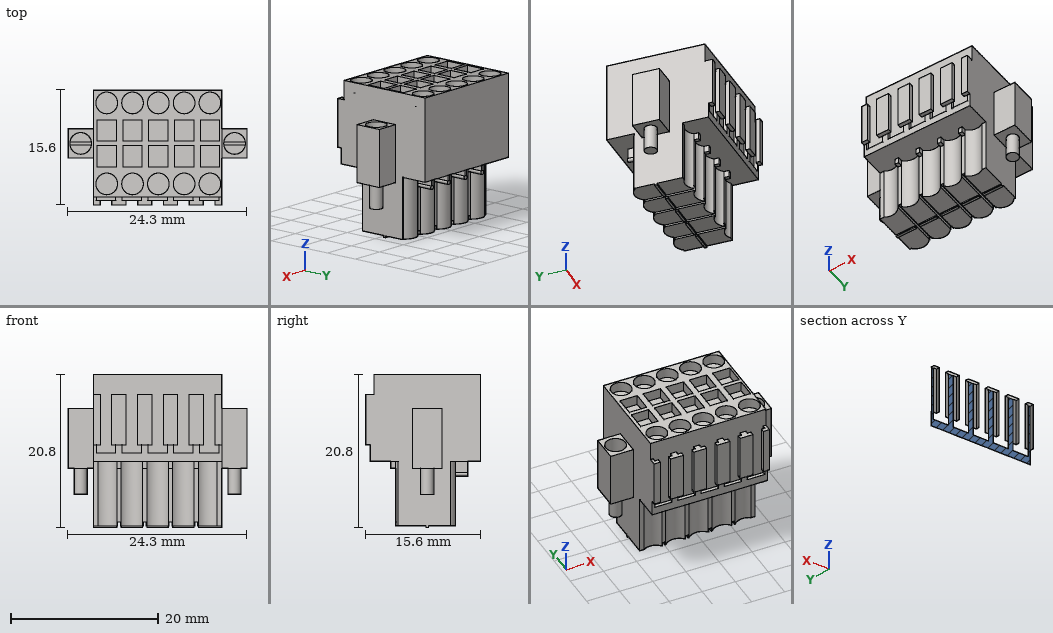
import cadquery as cq


OVERALL_WIDTH = 24.3
POLES = 5
PITCH = 3.5

BODY_WIDTH = 17.45
BODY_DEPTH = 14.48
BODY_HEIGHT = 11.8

OPENING_DEPTH = 1.5
OPENING_SHIFT = 0.1
WIRE_HOLE_DIAMETER = 2.95
WIRE_HOLE_Y = 5.5
WINDOW_WIDTH = 2.62
WINDOW_DEPTH = 2.9
WINDOW_Y = 1.75

SLAB_TOP = 9.1
SLAB_THICKNESS = 0.5
RIB_THICKNESS = 0.6
RIB_BOTTOM = 2.24
T_SLOT_WIDTH = 2.62
T_SLOT_BOTTOM = 1.17
T_SLOT_MOUTH = 1.55

PLUG_HEIGHT = 8.75
PLUG_BACK = 3.18
PLUG_FRONT = -4.28
END_STEP = 0.35
CELL_GAP = 0.58
CELL_SAG = 0.68
BOTTOM_SLOT_WIDTH = 0.4
BOTTOM_SLOT_HEIGHT = 0.53
RIDGE_WIDTH = 0.36
RIDGE_HEIGHT = 0.25

FRONT_KEY_LENGTH = 0.7
FRONT_KEY_HEIGHT = 0.95
BACK_KEY_END = 5.52
BACK_KEY_BOTTOM = -2.02
BACK_KEY_THICKNESS = 0.35
BACK_KEY_BEAD_DIAMETER = 0.58

FLANGE_DEPTH = 3.99
FLANGE_TOP = 7.2
FLANGE_BOTTOM = -0.95

HEAD_DIAMETER = 2.95
HEAD_HEIGHT = 1.5
HEAD_RECESS = 2.5
SHAFT_DIAMETER = 1.8
SHAFT_BOTTOM = -4.47
DRIVER_SLOT_WIDTH = 0.36
DRIVER_SLOT_DEPTH = 0.49

BODY_FRONT = -BODY_DEPTH / 2
SLAB_FRONT = BODY_FRONT - SLAB_THICKNESS
RIB_FRONT = SLAB_FRONT - RIB_THICKNESS
CELL_WIDTH = PITCH - CELL_GAP
CELL_X = [(i - (POLES - 1) / 2) * PITCH for i in range(POLES)]
GAP_X = [x + PITCH / 2 for x in CELL_X[:-1]]
FLANGE_X = (OVERALL_WIDTH + BODY_WIDTH) / 4
HEAD_TOP = FLANGE_TOP - HEAD_RECESS
HEAD_BOTTOM = HEAD_TOP - HEAD_HEIGHT


def block(x_range, y_range, z_range):
    """Axis-aligned block between the given limits."""
    (x0, x1), (y0, y1), (z0, z1) = x_range, y_range, z_range
    return cq.Workplane("XY").box(x1 - x0, y1 - y0, z1 - z0, centered=False).translate((x0, y0, z0))


def centred(middle, width):
    """Limits of a span of the given width about its middle."""
    return (middle - width / 2, middle + width / 2)


def upright_cylinder(x, diameter, bottom, top):
    """Vertical cylinder on the Y = 0 plane."""
    return cq.Workplane("XY", origin=(x, 0, bottom)).circle(diameter / 2).extrude(top - bottom)


def cell_segment(x, y, sag):
    """Circular segment as tall as the plug, with its chord at y and its arc towards +Y."""
    half = CELL_WIDTH / 2
    return (
        cq.Workplane("XY", origin=(x, y, -PLUG_HEIGHT))
        .moveTo(-half, 0)
        .threePointArc((0, sag), (half, 0))
        .close()
        .extrude(PLUG_HEIGHT)
    )


def make_body():
    """Upper block with round wire holes along both edges and square windows between them."""
    body = block(centred(0, BODY_WIDTH), (BODY_FRONT, -BODY_FRONT), (0, BODY_HEIGHT))
    opening_x = [x + OPENING_SHIFT for x in CELL_X]
    top = cq.Workplane("XY", origin=(0, 0, BODY_HEIGHT))
    wire_points = [(x, y) for x in opening_x for y in (-WIRE_HOLE_Y, WIRE_HOLE_Y)]
    window_points = [(x, y) for x in opening_x for y in (-WINDOW_Y, WINDOW_Y)]
    wire_holes = top.pushPoints(wire_points).circle(WIRE_HOLE_DIAMETER / 2).extrude(-OPENING_DEPTH)
    windows = top.pushPoints(window_points).rect(WINDOW_WIDTH, WINDOW_DEPTH).extrude(-OPENING_DEPTH)
    return body.cut(wire_holes).cut(windows)


def make_front_ribs():
    """Slab on the front wall, cut by one T-slot per pole that is open at the top."""
    width = centred(0, BODY_WIDTH)
    slab = block(width, (SLAB_FRONT, BODY_FRONT), (0, SLAB_TOP))
    ribs = block(width, (RIB_FRONT, SLAB_FRONT), (RIB_BOTTOM, SLAB_TOP))
    front = slab.union(ribs)
    for x in CELL_X:
        undercut = block(
            centred(x, T_SLOT_WIDTH), (SLAB_FRONT, BODY_FRONT), (T_SLOT_BOTTOM, SLAB_TOP)
        )
        mouth = block(centred(x, T_SLOT_MOUTH), (RIB_FRONT, SLAB_FRONT), (RIB_BOTTOM, SLAB_TOP))
        front = front.cut(undercut).cut(mouth)
    return front


def make_plug():
    """Plug with hollow cell fronts, bulged cell backs and a slot between neighbouring cells."""
    height = (-PLUG_HEIGHT, 0)
    plug = block(centred(0, BODY_WIDTH), (PLUG_FRONT, PLUG_BACK), height)
    for side in (-1, 1):
        outer_x = side * BODY_WIDTH / 2
        inner_x = side * CELL_X[-1]
        step_x = (min(outer_x, inner_x), max(outer_x, inner_x))
        plug = plug.cut(block(step_x, (PLUG_FRONT, PLUG_FRONT + END_STEP), height))
    for x in CELL_X:
        plug = plug.cut(cell_segment(x, PLUG_FRONT, CELL_SAG))
        plug = plug.union(cell_segment(x, PLUG_BACK, CELL_SAG))
    plug = plug.union(make_bottom_ridge())
    for x in GAP_X:
        slot_z = (-PLUG_HEIGHT, -PLUG_HEIGHT + BOTTOM_SLOT_HEIGHT)
        plug = plug.cut(block(centred(x, BOTTOM_SLOT_WIDTH), (PLUG_FRONT, PLUG_BACK), slot_z))
    return plug


def make_bottom_ridge():
    """Thin ridge along the plug's underside, interrupted between the cells."""
    ridge_y = centred(0, RIDGE_WIDTH)
    ridge_z = (-PLUG_HEIGHT - RIDGE_HEIGHT, -PLUG_HEIGHT)
    ridge = block(centred(0, BODY_WIDTH), ridge_y, ridge_z)
    for x in GAP_X:
        ridge = ridge.cut(block(centred(x, CELL_GAP), ridge_y, ridge_z))
    return ridge


def make_keys(x):
    """Short front key and beaded back key on the strip between two cells."""
    front_key = block(
        centred(x, CELL_GAP), (PLUG_FRONT - FRONT_KEY_LENGTH, PLUG_FRONT), (-FRONT_KEY_HEIGHT, 0)
    )
    bead_radius = BACK_KEY_BEAD_DIAMETER / 2
    bead_z = BACK_KEY_BOTTOM + bead_radius
    web = block(centred(x, BACK_KEY_THICKNESS), (PLUG_BACK, BACK_KEY_END), (bead_z, 0))
    bead = (
        cq.Workplane("XZ", origin=(x, BACK_KEY_END, bead_z))
        .circle(bead_radius)
        .extrude(BACK_KEY_END - PLUG_BACK)
    )
    return front_key.union(web).union(bead)


def make_flange(side):
    """Block beside the housing, still without its screw bore."""
    inner_x = BODY_WIDTH / 2
    outer_x = OVERALL_WIDTH / 2
    return block(
        centred(side * FLANGE_X, outer_x - inner_x),
        centred(0, FLANGE_DEPTH),
        (FLANGE_BOTTOM, FLANGE_TOP),
    )


def make_screw_bore(side):
    """Counterbored hole through a flange that takes the screw's head and shaft."""
    x = side * FLANGE_X
    counterbore = upright_cylinder(x, HEAD_DIAMETER, HEAD_BOTTOM, FLANGE_TOP)
    return counterbore.union(upright_cylinder(x, SHAFT_DIAMETER, FLANGE_BOTTOM, HEAD_BOTTOM))


def make_housing():
    """Complete connector housing: block, ribs, plug, keys and bored flanges."""
    housing = make_body().union(make_front_ribs()).union(make_plug())
    for x in GAP_X:
        housing = housing.union(make_keys(x))
    for side in (-1, 1):
        housing = housing.union(make_flange(side)).cut(make_screw_bore(side))
    return housing


def make_screw(side):
    """Slotted screw sunk in a flange, its plain shaft reaching out below."""
    x = side * FLANGE_X
    head = upright_cylinder(x, HEAD_DIAMETER, HEAD_BOTTOM, HEAD_TOP)
    shaft = upright_cylinder(x, SHAFT_DIAMETER, SHAFT_BOTTOM, HEAD_BOTTOM)
    driver_slot = block(
        centred(x, HEAD_DIAMETER),
        centred(0, DRIVER_SLOT_WIDTH),
        (HEAD_TOP - DRIVER_SLOT_DEPTH, HEAD_TOP),
    )
    return head.union(shaft).cut(driver_slot)


housing = make_housing()
screws = [make_screw(side) for side in (-1, 1)]
result = cq.Compound.makeCompound([housing.val(), *[screw.val() for screw in screws]])